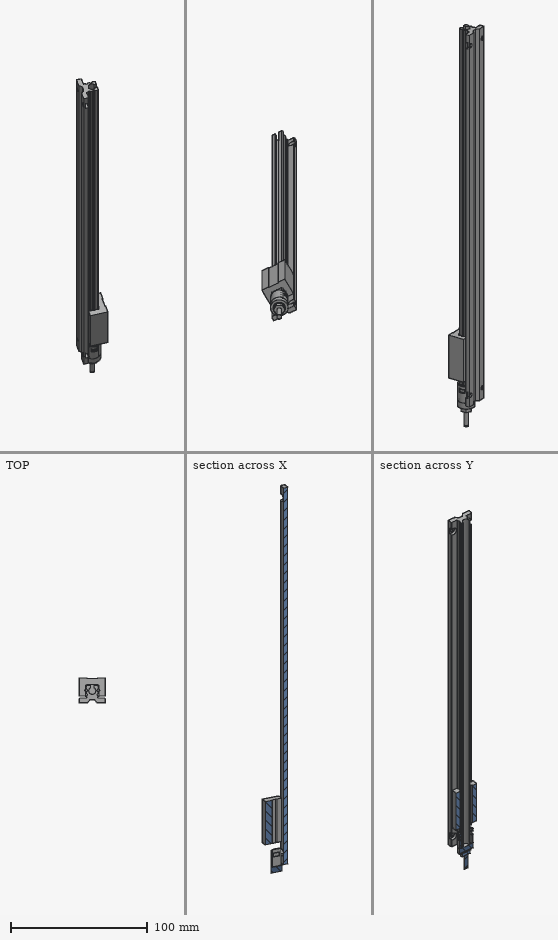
import cadquery as cq

TOTAL_LENGTH = 324.0
WIDTH = 19.0
DEPTH = 18.5
FRONT_Y = -DEPTH / 2
BACK_Y = DEPTH / 2

RAIL_BOTTOM_Z = 21.5
PLATE_BACK_Y = -5.5
PLATE_BACK_CHAMFER = 0.5
GROOVE_MOUTH_WIDTH = 7.0
GROOVE_FLOOR_WIDTH = 3.2
GROOVE_DEPTH = 2.3
HEAD_BACK_Y = 3.5
HEAD_BACK_HALF_WIDTH = 4.0
HEAD_SHOULDER_Y = 2.5
HEAD_HALF_WIDTH = 4.5
RIDGE_HALF_WIDTH = 4.2
VALLEY_HALF_WIDTH = 3.5
VALLEY_CENTRES_Y = (-3.2, 0.0)
VALLEY_MOUTH_WIDTH = 2.0
VALLEY_FLOOR_WIDTH = 0.5
CHANNEL_RADIUS = 2.5
CHANNEL_Y = -0.3
CHANNEL_MOUTH_WIDTH = 3.0

HOLE_DIAMETER = 3.2
COUNTERBORE_DIAMETER = 5.8
COUNTERBORE_DEPTH = 2.3
HOLE_X = 7.8
HOLE_END_DISTANCE = 9.0

BORE_HALF_WIDTH = 5.0
BORE_BACK_Y = 4.2
BORE_CHAMFER = 1.0

CARRIAGE_BOTTOM_Z = 40.0
CARRIAGE_LENGTH = 35.0
CARRIAGE_FRONT_Y = -4.2
CARRIAGE_SIDE_GROOVE_RADIUS = 0.5
CARRIAGE_RECESS_WIDTH = 7.8
CARRIAGE_RECESS_DEPTH = 0.5

CAP_RADIUS = 6.5
CAP_TOP_Z = 35.0
CAP_TOP_CHAMFER = 0.3
CAP_FRONT_Y = -4.0
PLUG_HEIGHT = 5.0
COLLAR_DIAMETER = 9.0
COLLAR_HEIGHT = 1.0
NUT_ACROSS_CORNERS = 8.7
NUT_HEIGHT = 3.0
CABLE_DIAMETER = 3.5
CABLE_TIP_LENGTH = 1.0

LATCH_WIDTH = 5.0
LATCH_HEIGHT = 3.0
LATCH_BOTTOM_Z = 29.0
LATCH_OUTER_X = 5.5

LATCH_Y_RANGE = (-LATCH_WIDTH / 2, LATCH_WIDTH / 2)
LATCH_Z_RANGE = (LATCH_BOTTOM_Z, LATCH_BOTTOM_Z + LATCH_HEIGHT)
RAIL_LENGTH = TOTAL_LENGTH - RAIL_BOTTOM_Z
PLUG_BOTTOM_Z = RAIL_BOTTOM_Z - PLUG_HEIGHT
COLLAR_BOTTOM_Z = PLUG_BOTTOM_Z - COLLAR_HEIGHT
NUT_BOTTOM_Z = COLLAR_BOTTOM_Z - NUT_HEIGHT


def block(x_range, y_range, z_range):
    """Box between two limits on each axis."""
    sizes = [high - low for low, high in (x_range, y_range, z_range)]
    corner = (x_range[0], y_range[0], z_range[0])
    return cq.Workplane("XY").box(*sizes, centered=False).translate(corner)


def disc(diameter, bottom_z, top_z):
    """Cylinder on the Z axis."""
    return cq.Workplane("XY").workplane(offset=bottom_z).circle(diameter / 2).extrude(top_z - bottom_z)


def head_clearance(z_range):
    """Bore around the rail head, open towards the plate."""
    bore = block((-BORE_HALF_WIDTH, BORE_HALF_WIDTH), (FRONT_Y, BORE_BACK_Y), z_range)
    return bore.faces(">Y").edges("|Z").chamfer(BORE_CHAMFER)


def mounting_holes():
    """Counterbored holes near the plate corners, measured from the rail bottom."""
    points = [
        (x, z)
        for x in (-HOLE_X, HOLE_X)
        for z in (HOLE_END_DISTANCE, RAIL_LENGTH - HOLE_END_DISTANCE)
    ]
    plate_back = cq.Workplane("XZ", origin=(0, PLATE_BACK_Y, 0)).pushPoints(points)
    holes = plate_back.circle(HOLE_DIAMETER / 2).extrude(PLATE_BACK_Y - FRONT_Y)
    counterbores = plate_back.circle(COUNTERBORE_DIAMETER / 2).extrude(COUNTERBORE_DEPTH)
    return holes.union(counterbores)


def make_rail():
    right_side = [
        (GROOVE_FLOOR_WIDTH / 2, FRONT_Y + GROOVE_DEPTH),
        (GROOVE_MOUTH_WIDTH / 2, FRONT_Y),
        (WIDTH / 2, FRONT_Y),
        (WIDTH / 2, PLATE_BACK_Y - PLATE_BACK_CHAMFER),
        (WIDTH / 2 - PLATE_BACK_CHAMFER, PLATE_BACK_Y),
        (RIDGE_HALF_WIDTH, PLATE_BACK_Y),
    ]
    for y in VALLEY_CENTRES_Y:
        right_side += [
            (RIDGE_HALF_WIDTH, y - VALLEY_MOUTH_WIDTH / 2),
            (VALLEY_HALF_WIDTH, y - VALLEY_FLOOR_WIDTH / 2),
            (VALLEY_HALF_WIDTH, y + VALLEY_FLOOR_WIDTH / 2),
            (RIDGE_HALF_WIDTH, y + VALLEY_MOUTH_WIDTH / 2),
        ]
    right_side += [
        (HEAD_HALF_WIDTH, HEAD_SHOULDER_Y),
        (HEAD_BACK_HALF_WIDTH, HEAD_BACK_Y),
    ]
    left_side = [(-x, y) for x, y in reversed(right_side)]
    rail = cq.Workplane("XY").polyline(right_side + left_side).close().extrude(RAIL_LENGTH)

    channel = cq.Workplane("XY").center(0, CHANNEL_Y).circle(CHANNEL_RADIUS).extrude(RAIL_LENGTH)
    half_mouth = CHANNEL_MOUTH_WIDTH / 2
    mouth = block((-half_mouth, half_mouth), (CHANNEL_Y, BACK_Y), (0, RAIL_LENGTH))
    rail = rail.cut(channel).cut(mouth)
    return rail.cut(mounting_holes()).translate((0, 0, RAIL_BOTTOM_Z))


def make_carriage():
    z_range = (CARRIAGE_BOTTOM_Z, CARRIAGE_BOTTOM_Z + CARRIAGE_LENGTH)
    body = block((-WIDTH / 2, WIDTH / 2), (CARRIAGE_FRONT_Y, BACK_Y), z_range)
    half_recess = CARRIAGE_RECESS_WIDTH / 2
    recess = block((-half_recess, half_recess), (BACK_Y - CARRIAGE_RECESS_DEPTH, BACK_Y), z_range)
    side_grooves = (
        cq.Workplane("XY", origin=(0, 0, CARRIAGE_BOTTOM_Z))
        .pushPoints([(-BORE_HALF_WIDTH, 0), (BORE_HALF_WIDTH, 0)])
        .circle(CARRIAGE_SIDE_GROOVE_RADIUS)
        .extrude(CARRIAGE_LENGTH)
    )
    return body.cut(head_clearance(z_range)).cut(side_grooves).cut(recess)


def make_cap():
    z_range = (RAIL_BOTTOM_Z, CAP_TOP_Z)
    cap = disc(2 * CAP_RADIUS, *z_range).faces(">Z").edges().chamfer(CAP_TOP_CHAMFER)
    front = block((-CAP_RADIUS, CAP_RADIUS), (-CAP_RADIUS, CAP_FRONT_Y), z_range)
    windows = block((-CAP_RADIUS, CAP_RADIUS), LATCH_Y_RANGE, LATCH_Z_RANGE)
    return cap.cut(front).cut(head_clearance(z_range)).cut(windows)


def make_latch(side):
    """Block in one side window; side is -1 or 1 along X."""
    x_range = sorted((side * BORE_HALF_WIDTH, side * LATCH_OUTER_X))
    return block(x_range, LATCH_Y_RANGE, LATCH_Z_RANGE)


def make_nut():
    nut = cq.Workplane("XY").workplane(offset=NUT_BOTTOM_Z).polygon(6, NUT_ACROSS_CORNERS).extrude(NUT_HEIGHT)
    return nut.rotate((0, 0, 0), (0, 0, 1), 90)


rail = make_rail()
carriage = make_carriage()
cap = make_cap()
latches = [make_latch(side) for side in (-1, 1)]
plug = disc(2 * CAP_RADIUS, PLUG_BOTTOM_Z, RAIL_BOTTOM_Z)
collar = disc(COLLAR_DIAMETER, COLLAR_BOTTOM_Z, PLUG_BOTTOM_Z)
nut = make_nut()
cable = disc(CABLE_DIAMETER, CABLE_TIP_LENGTH, NUT_BOTTOM_Z)
cable_tip = disc(CABLE_DIAMETER, 0, CABLE_TIP_LENGTH)

result = cq.Compound.makeCompound([
    rail.val(),
    carriage.val(),
    cap.val(),
    *[latch.val() for latch in latches],
    plug.val(),
    collar.val(),
    nut.val(),
    cable.val(),
    cable_tip.val(),
])